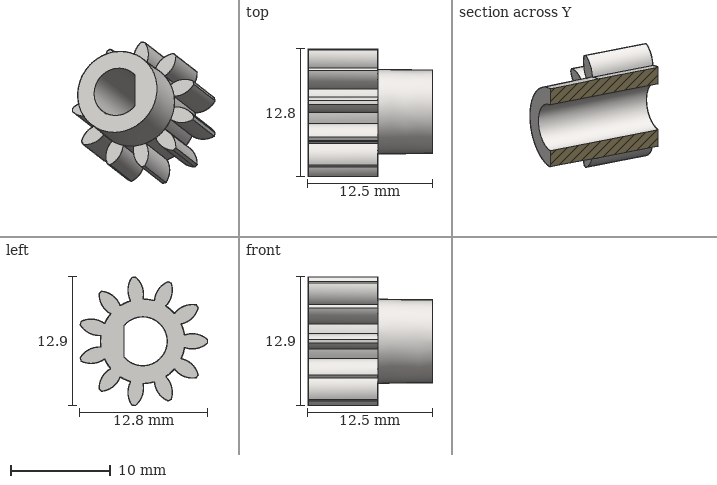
import cadquery as cq
import math

total_length = 12.5
gear_length = 7.0

tooth_count = 11
gear_height = 12.91
root_radius = 4.23
tip_half_width = 0.18
widest_radius = 4.97
widest_half_width = 0.77
root_overlap = 0.13

lean = math.radians(360 / tooth_count / 4)
tip_corner = (gear_height / 2 - tip_half_width * math.sin(lean)) / math.cos(lean)
tip_radius = math.hypot(tip_corner, tip_half_width)

flank_rise = widest_half_width - tip_half_width
flank_radius = ((tip_corner - widest_radius)**2 + flank_rise**2) / (2 * flank_rise)

hub_base_radius = 4.25
hub_end_radius = 4.18

bore_radius = 2.44
flat_distance = 1.86


def flank_half_width(radial_position):
    """Half width of a tooth at a distance from the axis along its centre line."""
    offset = radial_position - widest_radius
    return widest_half_width - flank_radius + math.sqrt(flank_radius**2 - offset**2)


def make_tooth():
    """One lens-shaped tooth pointing along -Y, with its foot inside the root cylinder."""
    foot = math.sqrt(root_radius**2 - widest_half_width**2) - root_overlap
    foot_half_width = flank_half_width(foot)
    return (
        cq.Workplane("YZ")
        .moveTo(-foot, -foot_half_width)
        .threePointArc((-widest_radius, -widest_half_width), (-tip_corner, -tip_half_width))
        .threePointArc((-tip_radius, 0), (-tip_corner, tip_half_width))
        .threePointArc((-widest_radius, widest_half_width), (-foot, foot_half_width))
        .close()
        .extrude(gear_length)
    )


def make_gear():
    gear = cq.Workplane("YZ").circle(root_radius).extrude(gear_length)
    tooth = make_tooth()
    for index in range(tooth_count):
        angle = index * 360 / tooth_count
        gear = gear.union(tooth.rotate((0, 0, 0), (1, 0, 0), angle))
    return gear


def make_hub():
    return (
        cq.Workplane("XY")
        .moveTo(gear_length, 0)
        .lineTo(gear_length, hub_base_radius)
        .lineTo(total_length, hub_end_radius)
        .lineTo(total_length, 0)
        .close()
        .revolve(360, (0, 0, 0), (1, 0, 0))
    )


def make_bore():
    flat_half_height = math.sqrt(bore_radius**2 - flat_distance**2)
    return (
        cq.Workplane("YZ")
        .moveTo(flat_distance, -flat_half_height)
        .threePointArc((-bore_radius, 0), (flat_distance, flat_half_height))
        .close()
        .extrude(total_length)
    )


result = make_gear().union(make_hub()).cut(make_bore())